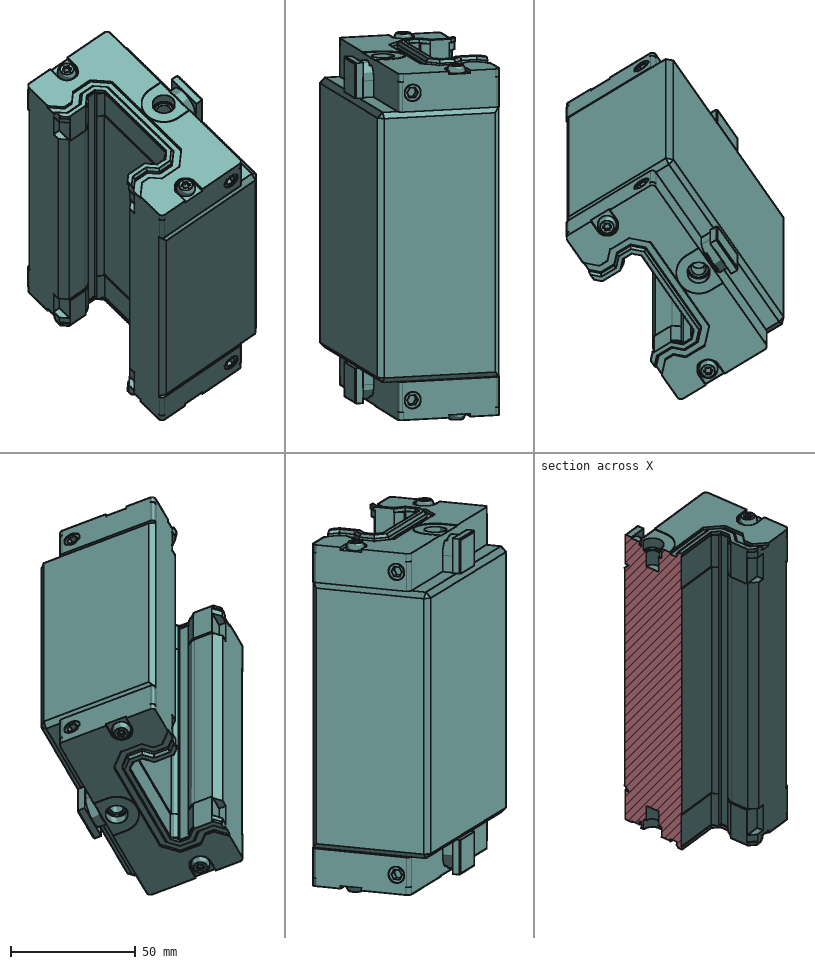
import cadquery as cq
import math


WIDTH = 86.0
HEIGHT = 51.1
LENGTH = 145.0
SEAL_Z = LENGTH / 2

BLOCK_LENGTH = 110.7
BLOCK_CHAMFER = 2.2
BLOCK_Z = BLOCK_LENGTH / 2
BLOCK_LEG_X = 19.3

CAP_WIDTH = 85.0
CAP_HEIGHT = 42.6
SEAL_RISE = 1.5
CAP_Z = SEAL_Z - SEAL_RISE
PLATE_THICKNESS = 3.3
PLATE_Z = CAP_Z - PLATE_THICKNESS
CAP_CORNER_R = 1.5
PLATE_CORNER_R = 1.75
CAP_LEG_X = 18.6
NOTCH_X = 25.4
NOTCH_DEPTH = 3.0

BLOCK_CEILING_Y = 21.7
CAP_CEILING_Y = 22.0
PASSAGE_TOP_X = 19.6
RACEWAY_X = 22.6
RACEWAY_LIP_X = 21.1
RACEWAY_HIGH_Y = 19.2
RACEWAY_LOW_Y = 14.7
LEG_TOP_Y = 11.3
LEG_CHAMFER = 3.2
LOBE_SAGITTA = 0.3

SEAL_LEG_X = 21.4
SEAL_FLANK_X = 25.0
SEAL_LEG_LOW_Y = SEAL_FLANK_X - SEAL_LEG_X
SEAL_LEG_HIGH_Y = 10.0
SEAL_FLANK_LOW_Y = SEAL_LEG_HIGH_Y + SEAL_FLANK_X - SEAL_LEG_X
SEAL_TOP_Y = 24.6
SEAL_CORNER = 4.4
SEAL_LIP_WIDTH = 2.8
SEAL_GROOVE_WIDTH = 3.0
RECESS_DEPTH = 1.2
RECESS_Z = CAP_Z - RECESS_DEPTH
LIP_BEVEL_WIDTH = 0.9
LIP_BEVEL_HEIGHT = 1.3
BELOW_PART = 10.0

SCREW_X = 37.4
SCREW_Y = 17.0
SCREW_RECESS_D = 9.0
SCREW_HEAD_D = 7.6
SCREW_HEAD_TOP_D = 5.5
SCREW_DOME_BULGE = 0.35
TORX_CORE_D = 2.6
TORX_LOBE_D = 0.9
TORX_LOBES = 6
TORX_DEPTH = 1.5

PORT_Y = 36.7
PORT_RIM_D = 9.0
PORT_D = 8.0
PORT_DEPTH = 5.0
PORT_BORE_D = 6.0
PORT_BORE_DEPTH = 12.0
PORT_PAD_R = 9.0
PORT_PAD_DEPTH = 0.3

SET_SCREW_Z = 63.0
SET_SCREW_D = 6.8
SET_SCREW_RECESS = 0.5
SET_SCREW_HEX = 4.0
SET_SCREW_HEX_DEPTH = 3.0

FITTING_D = 14.0
FITTING_Z = 62.3
FITTING_GAP_TOP_Y = 43.4
FITTING_HEAD_Y = 47.3
FITTING_HEAD_TOP_Y = 50.7
FITTING_HEAD_WIDTH = 15.7
FITTING_HEAD_Z = 69.8
FITTING_HEAD_CHAMFER = 0.5


def box(x0, x1, y0, y1, z0, z1):
    return cq.Workplane("XY").box(x1 - x0, y1 - y0, z1 - z0, centered=False).translate((x0, y0, z0))


def at_z(z):
    return cq.Workplane("XY").workplane(offset=z)


def mirrored_x(shape):
    return shape.union(shape.mirror("YZ"))


def rail_passage(leg_x, top_y, z0, z1):
    """Rail-shaped passage with a ball raceway slot in each flank."""

    def bulge(start, end):
        """Point on the arc between two points that bulges into the passage."""
        dx, dy = end[0] - start[0], end[1] - start[1]
        span = math.hypot(dx, dy)
        middle_x = (start[0] + end[0]) / 2
        middle_y = (start[1] + end[1]) / 2
        return middle_x - LOBE_SAGITTA * dy / span, middle_y + LOBE_SAGITTA * dx / span

    leg_top = (leg_x, LEG_TOP_Y)
    low_lip = (RACEWAY_LIP_X, RACEWAY_LOW_Y)
    high_lip = (RACEWAY_LIP_X, RACEWAY_HIGH_Y)
    ceiling = (PASSAGE_TOP_X, top_y)
    half = (
        at_z(z0)
        .moveTo(0, -BELOW_PART)
        .lineTo(leg_x + LEG_CHAMFER + BELOW_PART, -BELOW_PART)
        .lineTo(leg_x, LEG_CHAMFER)
        .lineTo(*leg_top)
        .threePointArc(bulge(leg_top, low_lip), low_lip)
        .lineTo(RACEWAY_X, RACEWAY_LOW_Y)
        .lineTo(RACEWAY_X, RACEWAY_HIGH_Y)
        .lineTo(*high_lip)
        .threePointArc(bulge(high_lip, ceiling), ceiling)
        .lineTo(0, top_y)
        .close()
        .extrude(z1 - z0)
    )
    return mirrored_x(half)


def seal_outline(offset, z):
    """Outer edge of the seal lip, moved outward by offset (inward when negative)."""
    right_side = [
        (SEAL_FLANK_X + BELOW_PART, -BELOW_PART),
        (SEAL_LEG_X, SEAL_LEG_LOW_Y),
        (SEAL_LEG_X, SEAL_LEG_HIGH_Y),
        (SEAL_FLANK_X, SEAL_FLANK_LOW_Y),
        (SEAL_FLANK_X, SEAL_TOP_Y - SEAL_CORNER),
        (SEAL_FLANK_X - SEAL_CORNER, SEAL_TOP_Y),
    ]
    left_side = [(-x, y) for x, y in reversed(right_side)]
    outline = at_z(z).polyline(right_side + left_side).close()
    return outline.offset2D(offset, "intersection") if offset else outline


def make_block():
    half_width = WIDTH / 2
    block = box(-half_width, half_width, 0, HEIGHT, -BLOCK_Z, BLOCK_Z)
    block = block.edges("|Z or (>Y and |X) or (<X and |Y) or (>X and |Y)").chamfer(BLOCK_CHAMFER)
    return block.cut(rail_passage(BLOCK_LEG_X, BLOCK_CEILING_Y, -BLOCK_Z, BLOCK_Z))


def make_cap_body():
    half_width = CAP_WIDTH / 2
    body = box(-half_width, half_width, 0, CAP_HEIGHT, BLOCK_Z, PLATE_Z).edges("|Z").fillet(CAP_CORNER_R)
    plate = box(-half_width, half_width, 0, CAP_HEIGHT, PLATE_Z, CAP_Z).edges("|Z").fillet(PLATE_CORNER_R)
    body = body.cut(box(-NOTCH_X, NOTCH_X, 0, NOTCH_DEPTH, BLOCK_Z, PLATE_Z))
    return body.union(plate).cut(rail_passage(CAP_LEG_X, CAP_CEILING_Y, BLOCK_Z, CAP_Z))


def add_seal(cap):
    """Groove in the end plate around a raised, bevelled lip that follows the rail."""
    groove = seal_outline(SEAL_GROOVE_WIDTH, RECESS_Z).extrude(SEAL_Z - RECESS_Z)
    bevel_z = SEAL_Z - LIP_BEVEL_HEIGHT
    bevel_angle = math.degrees(math.atan2(LIP_BEVEL_WIDTH, LIP_BEVEL_HEIGHT))
    lip = seal_outline(0, RECESS_Z).extrude(bevel_z - RECESS_Z)
    lip = lip.union(seal_outline(0, bevel_z).extrude(LIP_BEVEL_HEIGHT, taper=bevel_angle))
    lip = lip.intersect(box(-WIDTH / 2, WIDTH / 2, 0, HEIGHT, RECESS_Z, SEAL_Z))
    lip = lip.cut(seal_outline(-SEAL_LIP_WIDTH, CAP_Z).extrude(SEAL_Z - CAP_Z))
    lip = lip.cut(rail_passage(CAP_LEG_X, CAP_CEILING_Y, RECESS_Z, CAP_Z))
    return cap.cut(groove).union(lip)


def make_screw():
    """Domed screw head with a six-lobed socket."""
    head_height = SEAL_Z - RECESS_Z
    head_r = SCREW_HEAD_D / 2
    top_r = SCREW_HEAD_TOP_D / 2
    shoulder_r = (head_r + top_r) / 2 + SCREW_DOME_BULGE
    shoulder_height = head_height / 2
    head = (
        cq.Workplane("XZ")
        .moveTo(0, 0)
        .lineTo(head_r, 0)
        .threePointArc((shoulder_r, shoulder_height), (top_r, head_height))
        .lineTo(0, head_height)
        .close()
        .revolve(360, (0, 0, 0), (0, 1, 0))
    )
    socket_floor = at_z(head_height - TORX_DEPTH)
    socket = socket_floor.circle(TORX_CORE_D / 2).extrude(TORX_DEPTH)
    lobes = socket_floor.polarArray(TORX_CORE_D / 2, 0, 360, TORX_LOBES).circle(TORX_LOBE_D / 2)
    socket = socket.union(lobes.extrude(TORX_DEPTH))
    return head.cut(socket).translate((SCREW_X, SCREW_Y, RECESS_Z))


def add_screws(cap):
    """Screw heads set in round recesses that run out through the cap sides."""
    recess_r = SCREW_RECESS_D / 2
    recess = at_z(RECESS_Z).center(SCREW_X, SCREW_Y).circle(recess_r).extrude(RECESS_DEPTH)
    run_out = box(SCREW_X, WIDTH / 2, SCREW_Y - recess_r, SCREW_Y + recess_r, RECESS_Z, CAP_Z)
    return cap.cut(mirrored_x(recess.union(run_out))).union(mirrored_x(make_screw()))


def cut_grease_port(cap):
    """Stepped port in a shallow U-shaped pad on the end face."""
    pad_z = CAP_Z - PORT_PAD_DEPTH
    pad = at_z(pad_z).center(0, PORT_Y).circle(PORT_PAD_R).extrude(PORT_PAD_DEPTH)
    pad = pad.union(box(-PORT_PAD_R, PORT_PAD_R, PORT_Y, CAP_HEIGHT, pad_z, CAP_Z))

    def bore(diameter, depth):
        return at_z(pad_z - depth).center(0, PORT_Y).circle(diameter / 2).extrude(depth)

    rim = bore(PORT_RIM_D, PORT_DEPTH).faces("<Z").chamfer((PORT_RIM_D - PORT_D) / 2)
    return cap.cut(pad).cut(rim).cut(bore(PORT_BORE_D, PORT_BORE_DEPTH))


def cut_set_screws(cap):
    """Hexagon-socket set screws sunk just below both cap sides."""
    side = cq.Workplane("YZ", origin=(CAP_WIDTH / 2, PORT_Y, SET_SCREW_Z))
    recess = side.circle(SET_SCREW_D / 2).extrude(-SET_SCREW_RECESS)
    hex_corners = SET_SCREW_HEX / math.cos(math.pi / 6)
    socket = side.polygon(6, hex_corners).extrude(-(SET_SCREW_RECESS + SET_SCREW_HEX_DEPTH))
    return cap.cut(mirrored_x(recess.union(socket)))


def make_fitting():
    """Round-topped stem closed by a rectangular head; its tip stands clear of the end plate."""
    radius = FITTING_D / 2
    head_half = FITTING_HEAD_WIDTH / 2
    stem_height = FITTING_HEAD_Y - CAP_HEIGHT
    stem = cq.Workplane("XZ", origin=(0, FITTING_HEAD_Y, FITTING_Z)).circle(radius).extrude(stem_height)
    stem = stem.union(box(-radius, radius, CAP_HEIGHT, FITTING_HEAD_Y, BLOCK_Z, FITTING_Z))
    stem = stem.cut(box(-radius, radius, CAP_HEIGHT, FITTING_GAP_TOP_Y, PLATE_Z, CAP_Z))
    head = box(-head_half, head_half, FITTING_HEAD_Y, FITTING_HEAD_TOP_Y, BLOCK_Z, FITTING_HEAD_Z)
    head = head.faces(">Y").edges("|Z or >Z").chamfer(FITTING_HEAD_CHAMFER)
    return stem.union(head)


def make_end():
    cap = add_seal(make_cap_body())
    cap = add_screws(cap)
    cap = cut_grease_port(cap)
    cap = cut_set_screws(cap)
    return cap.union(make_fitting())


end = make_end()
result = make_block().union(end).union(end.mirror("XY"))